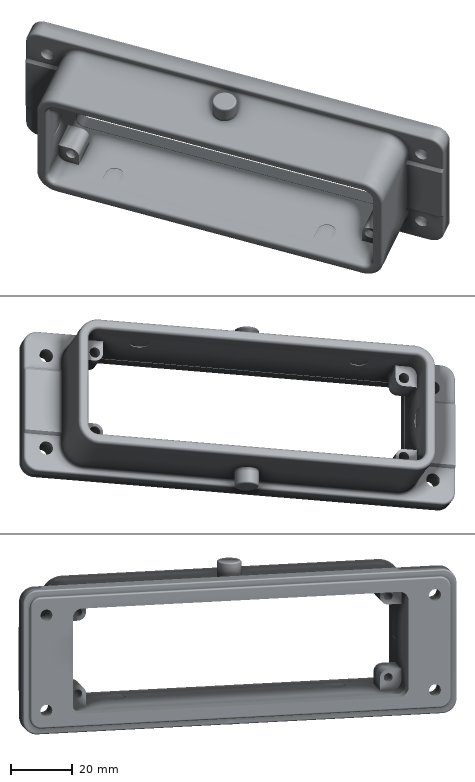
import cadquery as cq
import math


length = 145.0
depth = 31.6
pin_span = 54.2

flange_height = 48.3
flange_corner = 4.8
flange_back = 1.2
flange_front = 7.7
flange_front_fillet = 0.7
flange_back_fillet = 0.51

rim_inset = 2.2
rim_corner = 3.6
rim_fillet = 0.6

band_height = 0.9
band_top_half = 10.5
band_foot_half = 11.5

hood_length = 120.0
hood_height = 43.2
hood_corner = 7.5
hood_root_fillet = 0.9
tip_start = 26.8
tip_corner = 7.1
tip_draft = 1.0
tip_fillet = 1.0

opening_length = 112.2
opening_height = 35.2
opening_corner = 3.0
lip_width = 0.1
lip_depth = 4.3
flare = 0.3
flare_start = 20.9
mouth_fillet = 1.0
room_length = opening_length + 2 * lip_width
room_height = opening_height + 2 * lip_width
mouth_length = room_length + 2 * flare
mouth_height = room_height + 2 * flare
mouth_corner = opening_corner + flare

notch_width = 6.0
notch_spacing = 73.7
notch_depth = 0.22

boss_back = 11.3
boss_front = flare_start
boss_hole = 3.5
boss_hole_back = 2.9
boss_hole_x = 51.9
boss_hole_z = 13.6
boss_radius = 2.8
boss_wall_fillet = 0.5
boss_root = 0.7

mount_hole = 4.5
mount_hole_back = 3.9
mount_hole_x = 65.0
mount_hole_z = 16.0

pin_diameter = 8.0
pin_depth = 17.1
pin_fillet = 0.6

margin = 0.1


def plane_at(y_depth):
    return cq.Workplane("XZ", origin=(0, -y_depth, 0))


def rounded_block(size_x, size_z, corner, start, end):
    block = plane_at(start).rect(size_x, size_z).extrude(end - start)
    return block.edges("|Y").fillet(corner)


def tapered_hole(x, z, front_diameter, back_diameter, start, end):
    """Cutter for a cast hole that narrows slightly towards the back."""
    draft = math.degrees(math.atan((front_diameter - back_diameter) / 2 / (end - start)))
    return plane_at(end).center(x, z).circle(front_diameter / 2).extrude(start - end, taper=draft)


def in_four_corners(corner):
    right_pair = corner.union(corner.mirror("XY"))
    return right_pair.union(right_pair.mirror("YZ"))


def make_flange():
    flange = rounded_block(length, flange_height, flange_corner, flange_back, flange_front)
    band_front = flange_front + band_height
    band = (
        cq.Workplane("YZ", origin=(-length / 2, 0, 0))
        .moveTo(-flange_back, -band_foot_half)
        .lineTo(-flange_front, -band_foot_half)
        .lineTo(-band_front, -band_top_half)
        .lineTo(-band_front, band_top_half)
        .lineTo(-flange_front, band_foot_half)
        .lineTo(-flange_back, band_foot_half)
        .close()
        .extrude(length)
    )
    flange = flange.union(band)
    front_edges = cq.selectors.BoxSelector(
        (-length, -flange_front + margin, -flange_height),
        (length, -band_front - margin, flange_height),
        boundingbox=True,
    )
    inside_outline = cq.selectors.BoxSelector(
        (-length / 2 + margin, -flange_front + margin, -flange_height / 2 + margin),
        (length / 2 - margin, -band_front - margin, flange_height / 2 - margin),
    )
    flange = flange.edges(front_edges - inside_outline).fillet(flange_front_fillet)
    flange = flange.faces(">Y").edges().fillet(flange_back_fillet)
    rim = rounded_block(
        length - 2 * rim_inset,
        flange_height - 2 * rim_inset,
        rim_corner,
        0,
        flange_back,
    )
    rim = rim.faces(">Y").edges().fillet(rim_fillet)
    return flange.union(rim)


def make_hood():
    body = rounded_block(hood_length, hood_height, hood_corner, flange_back, tip_start)
    tip_profile = cq.Sketch().rect(hood_length, hood_height).vertices().fillet(tip_corner)
    tip = plane_at(tip_start).placeSketch(tip_profile).extrude(depth - tip_start, taper=tip_draft)
    return body.union(tip.faces("<Y").edges().fillet(tip_fillet))


def round_hood_root(part):
    around_root = cq.selectors.BoxSelector(
        (-hood_length / 2 - margin, -flange_front + margin, -hood_height / 2 - margin),
        (hood_length / 2 + margin, -flange_front - band_height - margin, hood_height / 2 + margin),
        boundingbox=True,
    )
    return part.edges(around_root).fillet(hood_root_fillet)


def make_opening():
    """Cutter with a lip at the back, a room in the middle and walls that flare out to the mouth."""
    flare_depth = tip_start - flare_start
    flare_angle = math.degrees(math.atan(flare / flare_depth))
    lip = rounded_block(opening_length, opening_height, opening_corner, 0, depth)
    room = rounded_block(room_length, room_height, opening_corner, lip_depth, depth)
    mouth_profile = cq.Sketch().rect(mouth_length, mouth_height).vertices().fillet(mouth_corner)
    flared = plane_at(tip_start).placeSketch(mouth_profile).extrude(-flare_depth, taper=flare_angle)
    mouth = rounded_block(mouth_length, mouth_height, mouth_corner, tip_start, depth)
    return lip.union(room).union(flared).union(mouth)


def round_mouth(part):
    size_x = mouth_length + 2 * margin
    size_z = mouth_height + 2 * margin
    around_mouth = cq.selectors.BoxSelector(
        (-size_x / 2, -depth - margin, -size_z / 2),
        (size_x / 2, -depth + margin, size_z / 2),
        boundingbox=True,
    )
    return part.edges(around_mouth).fillet(mouth_fillet)


def notch_bar(half_reach):
    """Upright round-ended bar that notches the two walls lying half_reach from the middle."""
    return (
        cq.Workplane("XY")
        .moveTo(-notch_width / 2, -tip_start)
        .lineTo(-notch_width / 2, -flare_start)
        .threePointArc((0, -flare_start + notch_width / 2), (notch_width / 2, -flare_start))
        .lineTo(notch_width / 2, -tip_start)
        .close()
        .extrude(half_reach, both=True)
    )


def make_notches():
    """Two bars across the long walls and one across the end walls."""
    notches = notch_bar(room_length / 2 + notch_depth).rotate((0, 0, 0), (0, 1, 0), 90)
    upright = notch_bar(room_height / 2 + notch_depth)
    for side in (-1, 1):
        notches = notches.union(upright.translate((side * notch_spacing / 2, 0, 0)))
    return notches


def make_bosses():
    """Posts that fill the corners of the opening, each rounded on its free corner."""
    edge_x = boss_hole_x - boss_radius
    edge_z = boss_hole_z - boss_radius
    wall_x = room_length / 2
    wall_z = room_height / 2
    root_x = wall_x + boss_root
    root_z = wall_z + boss_root
    post = (
        plane_at(boss_back)
        .moveTo(root_x, root_z)
        .lineTo(edge_x - boss_wall_fillet, root_z)
        .lineTo(edge_x - boss_wall_fillet, wall_z)
        .radiusArc((edge_x, wall_z - boss_wall_fillet), boss_wall_fillet)
        .lineTo(edge_x, boss_hole_z)
        .radiusArc((boss_hole_x, edge_z), -boss_radius)
        .lineTo(wall_x - boss_wall_fillet, edge_z)
        .radiusArc((wall_x, edge_z - boss_wall_fillet), boss_wall_fillet)
        .lineTo(root_x, edge_z - boss_wall_fillet)
        .close()
        .extrude(boss_front - boss_back)
    )
    hole = tapered_hole(boss_hole_x, boss_hole_z, boss_hole, boss_hole_back, boss_back, boss_front)
    return in_four_corners(post.cut(hole))


def make_mount_holes():
    hole = tapered_hole(mount_hole_x, mount_hole_z, mount_hole, mount_hole_back, 0, flange_front)
    return in_four_corners(hole)


def make_pins():
    """One bar right across the part, of which the opening leaves a pin on each side."""
    middle = cq.Workplane("XY", origin=(0, -pin_depth, 0))
    bar = middle.circle(pin_diameter / 2).extrude(pin_span / 2, both=True)
    return bar.faces("|Z").edges().fillet(pin_fillet)


body = round_hood_root(make_flange().union(make_hood()))
body = body.union(make_pins()).cut(make_opening())
body = round_mouth(body).cut(make_notches()).cut(make_mount_holes())
result = body.union(make_bosses())